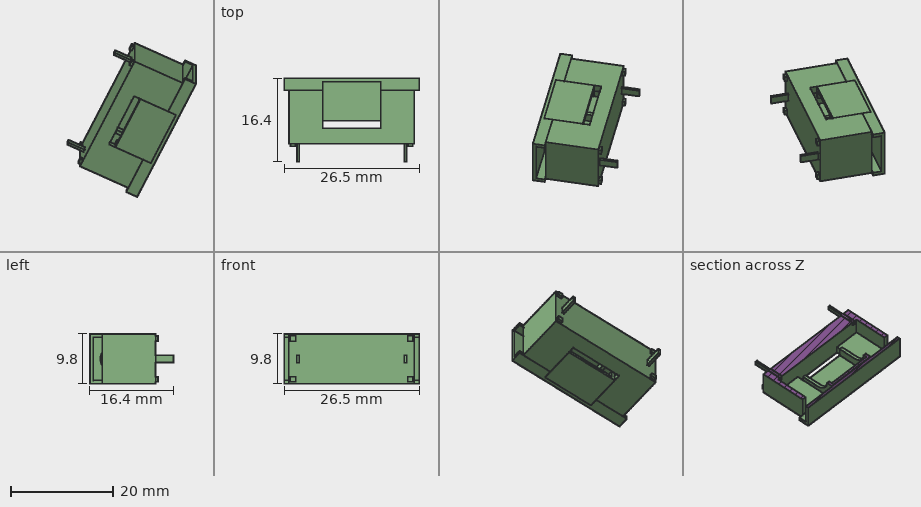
import cadquery as cq


housing_length = 24.6
height = 9.8
rim_y = 10.5
floor_thickness = 3.1
end_wall = 1.0
side_wall = 1.5

foot_size = 1.0
foot_height = 0.5
foot_inset_x = 0.3
foot_inset_z = 0.4

lid_length = 26.5
sheet = 0.7
lid_top_y = 12.9
lid_plate_y = lid_top_y - sheet

carrier_length = 11.3
carrier_end_y = 4.5
carrier_floor_y = lid_plate_y - sheet
fuse_radius = 2.5
fuse_y = 8.3

terminal_spacing = 21.0
terminal_places = (-terminal_spacing / 2, terminal_spacing / 2)
terminal_thickness = 0.5
terminal_width = 1.5
terminal_end_y = -3.5


def block(length, y_low, y_high, depth, x=0, z=0):
    """Box from y_low to y_high, centred on x and z."""
    return cq.Workplane("XY").box(length, y_high - y_low, depth).translate((x, (y_low + y_high) / 2, z))


def make_terminal(x):
    """Flat blade that passes through the housing floor."""
    return block(terminal_thickness, terminal_end_y, floor_thickness, terminal_width, x)


def make_housing():
    """Open box with a window through both Z sides for the carrier, four feet and blade slots."""
    body = block(housing_length, 0, rim_y, height)
    cavity_length = housing_length - 2 * end_wall
    cavity_depth = height - 2 * side_wall
    body = body.cut(block(cavity_length, floor_thickness, rim_y, cavity_depth))
    body = body.cut(block(carrier_length, floor_thickness, rim_y, height))

    foot_x = housing_length / 2 - foot_inset_x - foot_size / 2
    foot_z = height / 2 - foot_inset_z - foot_size / 2
    for x in (-foot_x, foot_x):
        for z in (-foot_z, foot_z):
            body = body.union(block(foot_size, -foot_height, 0, foot_size, x, z))

    for x in terminal_places:
        body = body.cut(make_terminal(x))
    return body


def make_carrier():
    """Open box whose X walls have round-ended slots for the fuse."""
    inner_length = carrier_length - 2 * sheet
    inner_depth = height - 2 * sheet
    body = block(carrier_length, carrier_end_y, lid_plate_y, height)
    body = body.cut(block(inner_length, carrier_end_y, carrier_floor_y, inner_depth))

    slot_end = (
        cq.Workplane("YZ")
        .center(fuse_y, 0)
        .circle(fuse_radius)
        .extrude(carrier_length / 2, both=True)
    )
    slot_mouth = block(carrier_length, carrier_end_y, fuse_y, 2 * fuse_radius)
    return body.cut(slot_end).cut(slot_mouth)


def make_lid():
    """Channel with two flanges, each notched in the middle to take the carrier."""
    body = block(lid_length, rim_y, lid_top_y, height)
    body = body.cut(block(lid_length, rim_y, lid_plate_y, height - 2 * sheet))
    return body.cut(block(carrier_length, rim_y, lid_plate_y, height))


housing = make_housing().solids()
carrier = make_carrier().solids()
lid = make_lid().solids()
terminals = [make_terminal(x).val() for x in terminal_places]

result = cq.Compound.makeCompound([housing.val(), carrier.val(), lid.val(), *terminals])